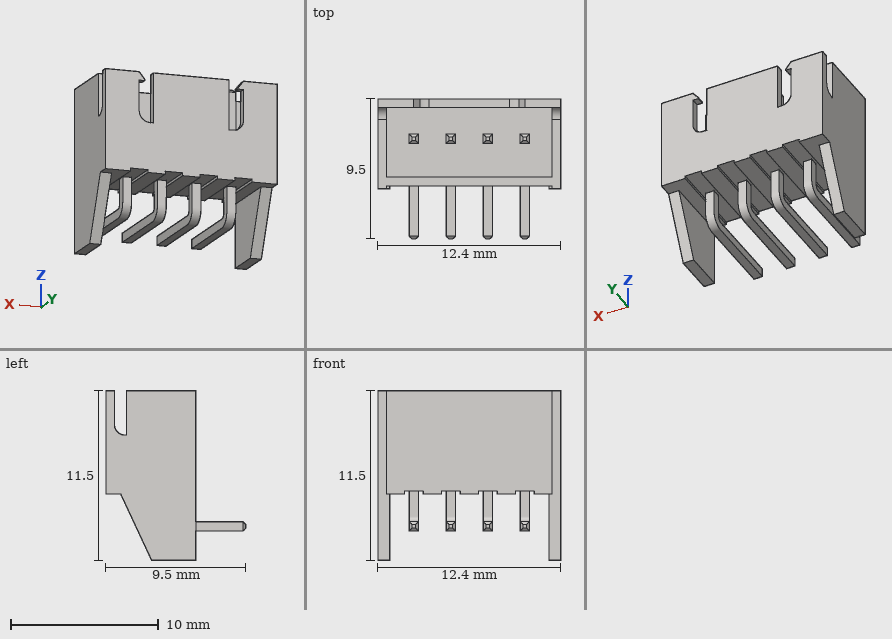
import cadquery as cq


width = 12.4
height = 11.5
depth = 6.1
wall = 0.6
shroud_height = 7.0
floor_thickness = 1.2
front_recess = 0.2
leg_thickness = 0.8
leg_foot_depth = 3.0
rear_ledge = 1.0

side_slot_depth = 3.0
side_slot_width = 0.8
side_slot_radius = 0.71
rear_slot_depth = 3.5
rear_slot_width = 1.04
rear_slot_radius = 0.77
rear_panel_width = 5.45
hook_reach = 0.41
hook_tip_drop = 0.51
hook_height = 0.6
hook_tip_radius = 0.1

pin_count = 4
pin_pitch = 2.5
pin_size = 0.65
pin_taper = 0.2
pin_y = -2.7
pin_tip_y = -9.5
pin_tail_z = 2.31
bend_inner_radius = 0.31
groove_width = pin_pitch / 2
groove_height = 0.2

shroud_bottom = height - shroud_height
cavity_floor = shroud_bottom + floor_thickness
pin_positions = [(i - (pin_count - 1) / 2) * pin_pitch for i in range(pin_count)]


def box(x_range, y_range, z_range):
    """Box between the given limits."""
    (x0, x1), (y0, y1), (z0, z1) = x_range, y_range, z_range
    return cq.Workplane("XY").box(x1 - x0, y1 - y0, z1 - z0, centered=False).translate((x0, y0, z0))


def both_sides(shape):
    """The shape together with its mirror image across X = 0."""
    return shape.union(shape.mirror("YZ"))


def make_legs():
    """Side plates that run the full height and narrow towards the foot."""
    leg = (
        cq.Workplane("YZ", origin=(-width / 2, 0, 0))
        .polyline([
            (0, height),
            (-depth, height),
            (-depth, 0),
            (-depth + leg_foot_depth, 0),
            (-rear_ledge, shroud_bottom),
            (0, shroud_bottom),
        ])
        .close()
        .extrude(leg_thickness)
    )
    return both_sides(leg)


def make_front_recess():
    """Shallow pocket that sets the front wall back between the legs."""
    half = width / 2 - wall
    return box((-half, half), (-depth, -depth + front_recess), (shroud_bottom, height))


def make_cavity():
    """Open-topped space around the pins."""
    half = width / 2 - wall
    return box((-half, half), (-depth + front_recess + wall, -wall), (cavity_floor, height))


def make_side_slots():
    """Slots in the side walls against the rear wall, rounded at the rear bottom edge."""
    slot = box(
        (-width / 2, -width / 2 + leg_thickness),
        (-wall - side_slot_width, -wall),
        (height - side_slot_depth, height),
    )
    return both_sides(slot.edges(">Y and <Z").fillet(side_slot_radius))


def make_rear_slots():
    """Slots in the rear wall, rounded at the outer bottom edge."""
    inner = -rear_panel_width / 2
    slot = box((inner - rear_slot_width, inner), (-wall, 0), (height - rear_slot_depth, height))
    return both_sides(slot.edges("<X and <Z").fillet(rear_slot_radius))


def make_hooks():
    """Hooks at the top of the outer rear tabs that reach into the rear slots."""
    root = -rear_panel_width / 2 - rear_slot_width
    tip = root + hook_reach
    hook = (
        cq.Workplane("XZ")
        .polyline([
            (root, height),
            (tip, height - hook_tip_drop),
            (tip, height - hook_height),
            (root, height - hook_height),
        ])
        .close()
        .extrude(wall)
    )
    tip_edge = cq.selectors.NearestToPointSelector((tip, -wall / 2, height - hook_tip_drop))
    return both_sides(hook.edges(tip_edge).fillet(hook_tip_radius))


def make_pin(x):
    """Square pin, level with the shroud rim, that bends below the floor and points forward."""
    half = pin_size / 2
    pin = (
        cq.Workplane("YZ", origin=(x - half, 0, 0))
        .polyline([
            (pin_y + half, height),
            (pin_y - half, height),
            (pin_y - half, pin_tail_z + half),
            (pin_tip_y, pin_tail_z + half),
            (pin_tip_y, pin_tail_z - half),
            (pin_y + half, pin_tail_z - half),
        ])
        .close()
        .extrude(pin_size)
    )
    inner_corner = cq.selectors.NearestToPointSelector((x, pin_y - half, pin_tail_z + half))
    outer_corner = cq.selectors.NearestToPointSelector((x, pin_y + half, pin_tail_z - half))
    pin = pin.edges("|X").edges(inner_corner).fillet(bend_inner_radius)
    pin = pin.edges("|X").edges(outer_corner).fillet(bend_inner_radius + pin_size)
    return pin.faces(">Z").chamfer(pin_taper).faces("<Y").chamfer(pin_taper)


def make_housing():
    """Legs and shroud in one piece, with slots, grooves and a square hole for each pin."""
    shroud = box((-width / 2, width / 2), (-depth, 0), (shroud_bottom, height))
    housing = shroud.union(make_legs())
    for cut in (make_front_recess(), make_cavity(), make_side_slots(), make_rear_slots()):
        housing = housing.cut(cut)
    housing = housing.union(make_hooks())
    for x in pin_positions:
        groove = box(
            (x - groove_width / 2, x + groove_width / 2),
            (-depth, 0),
            (shroud_bottom, shroud_bottom + groove_height),
        )
        hole = box(
            (x - pin_size / 2, x + pin_size / 2),
            (pin_y - pin_size / 2, pin_y + pin_size / 2),
            (shroud_bottom, cavity_floor),
        )
        housing = housing.cut(groove).cut(hole)
    return housing


housing = make_housing()
pins = [make_pin(x) for x in pin_positions]

result = cq.Compound.makeCompound([housing.val(), *[pin.val() for pin in pins]])